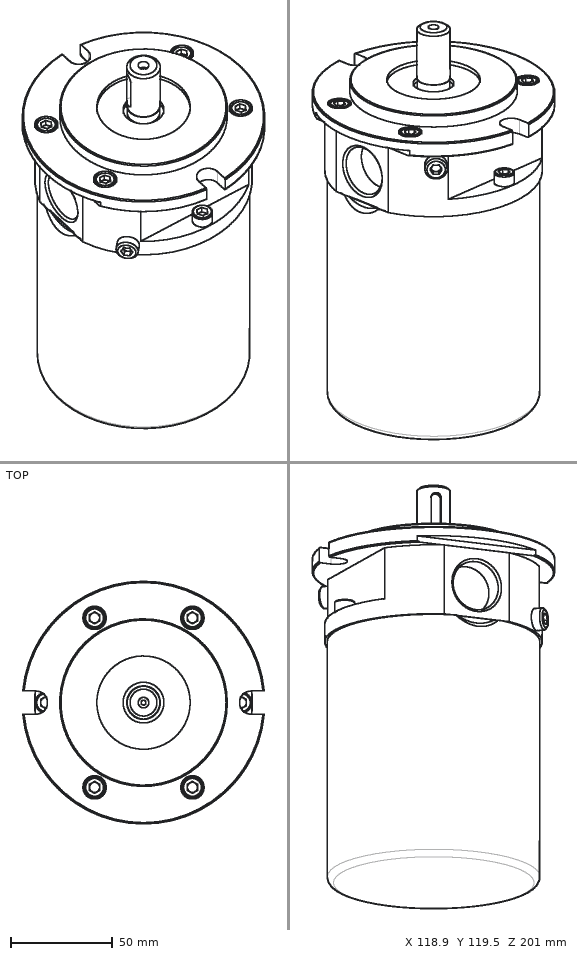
import cadquery as cq
import math

total_height = 201.0
can_top = 122.8
ledge_height = 132.0
flange_bottom = 158.0
flange_thickness = 7.8
flange_top = flange_bottom + flange_thickness
pilot_height = 6.6
pilot_top = flange_top + pilot_height

can_diameter = 105.0
can_bottom_fillet = 3.0

housing_diameter = 107.3
side_flat_offset = 42.0
port_flat_offset = 50.7

flange_diameter = 119.5
pilot_diameter = 82.6
rim_chamfer = 0.6
relief_height = 3.0
relief_offset = 50.5
slot_width = 11.5
slot_centre = 53.0
recess_diameter = 46.0
recess_depth = 2.0
recess_floor = pilot_top - recess_depth
seal_bore_diameter = 20.0
seal_bore_depth = 2.0

shaft_diameter = 16.5
shaft_neck_diameter = 16.0
neck_rise = 0.8
shaft_shoulder = pilot_top + neck_rise
shaft_chamfer_height = 1.2
shaft_chamfer_radial = 1.6
centre_mouth_diameter = 5.2
centre_drill_diameter = 2.5
centre_cone_half_angle = 30.0
centre_cone_taper = (centre_mouth_diameter - centre_drill_diameter) / 2
centre_cone_depth = centre_cone_taper / math.tan(math.radians(centre_cone_half_angle))
centre_drill_depth = 5.0
key_width = 5.0
key_length = 20.7
key_depth = 3.0
key_centre_height = 186.5
key_angle = 15.0

port_height = 139.5
port_diameter = 24.5
port_depth = 12.0
port_chamfer = 1.2
spot_face_radius = 19.3
spot_face_offset = 50.2

bolt_circle_radius = 48.2
flange_screw_angles = (60, 120, 240, 300)
screw_head_diameter = 10.0
screw_chamfer = 0.6
ledge_screw_height = 5.8
counterbore_diameter = 11.5
counterbore_depth = 5.0
hex_across_flats = 5.0
hex_depth = 3.0
plug_diameter = 11.0
plug_chamfer = 1.0
plug_tip_radius = 58.7
plug_root_radius = 44.2
low_plug_height = 129.2
high_plug_height = 150.8
low_plug_angle = -45.0
high_plug_angle = 135.0


def disc(diameter, bottom, top):
    """Cylinder about Z between two heights."""
    return cq.Workplane("XY").workplane(offset=bottom).circle(diameter / 2).extrude(top - bottom)


def slab(half_x, half_y, bottom, top):
    """Centred block given by its half widths, between two heights."""
    height = top - bottom
    return cq.Workplane("XY").workplane(offset=bottom).rect(2 * half_x, 2 * half_y).extrude(height)


def cone(base_radius, tip_radius, height, origin, direction):
    """Cone or frustum starting at origin and running along direction."""
    return cq.Workplane(obj=cq.Solid.makeCone(base_radius, tip_radius, height, origin, direction))


def socket_screw(diameter, length, chamfer):
    """Socket head standing on the XY plane, with a hexagon socket ending in a drill cone."""
    corner_radius = hex_across_flats / math.sqrt(3)
    flat_radius = hex_across_flats / 2
    head = disc(diameter, 0, length).faces(">Z").chamfer(chamfer)
    socket = (
        cq.Workplane("XY")
        .workplane(offset=length)
        .transformed(rotate=(0, 0, 90))
        .polygon(6, 2 * corner_radius)
        .extrude(-hex_depth)
    )
    drill_tip = cone(
        flat_radius, 0, flat_radius / 2, cq.Vector(0, 0, length - hex_depth), cq.Vector(0, 0, -1)
    )
    return head.cut(socket).cut(drill_tip)


def make_can():
    return disc(can_diameter, 0, can_top).faces("<Z").edges().fillet(can_bottom_fillet)


def make_housing():
    """Round housing with port flats on Y and clearance flats on X above the screw ledge."""
    reach = housing_diameter
    housing = disc(housing_diameter, can_top, flange_bottom)
    port_trim = slab(reach, port_flat_offset, can_top, flange_bottom)
    side_trim = slab(side_flat_offset, reach, ledge_height, flange_bottom)
    ledge_zone = slab(reach, reach, can_top, ledge_height)
    return housing.intersect(port_trim).intersect(ledge_zone.union(side_trim))


def make_flange():
    """Flange with its lower edge cut straight on Y, open slots on X, and the stepped pilot."""
    relief_top = flange_bottom + relief_height
    flange = disc(flange_diameter, flange_bottom, flange_top).edges().chamfer(rim_chamfer)
    full_zone = slab(flange_diameter, flange_diameter, relief_top, flange_top)
    trimmed_zone = slab(flange_diameter, relief_offset, flange_bottom, relief_top)
    flange = flange.intersect(full_zone.union(trimmed_zone))

    slot_length = 2 * slot_width
    for side in (-1, 1):
        slot = (
            cq.Workplane("XY")
            .workplane(offset=flange_bottom)
            .center(side * (slot_centre + slot_length / 2 - slot_width / 2), 0)
            .slot2D(slot_length, slot_width)
            .extrude(flange_thickness)
        )
        flange = flange.cut(slot)

    pilot = disc(pilot_diameter, flange_top, pilot_top).faces(">Z").edges().chamfer(rim_chamfer)
    recess = disc(recess_diameter, recess_floor, pilot_top)
    seal_bore = disc(seal_bore_diameter, recess_floor - seal_bore_depth, recess_floor)
    return flange.union(pilot).cut(recess).cut(seal_bore)


def make_shaft():
    """Keyed shaft with a slimmer neck inside the pilot and a centre hole in its end."""
    neck = disc(shaft_neck_diameter, flange_top, shaft_shoulder)
    shaft = disc(shaft_diameter, shaft_shoulder, total_height)
    shaft = shaft.faces(">Z").edges().chamfer(shaft_chamfer_height, shaft_chamfer_radial)

    down = cq.Vector(0, 0, -1)
    centre_cone = cone(
        centre_mouth_diameter / 2,
        centre_drill_diameter / 2,
        centre_cone_depth,
        cq.Vector(0, 0, total_height),
        down,
    )
    centre_drill = disc(centre_drill_diameter, total_height - centre_drill_depth, total_height)
    keyway = (
        cq.Workplane("XZ")
        .workplane(offset=shaft_diameter / 2 - key_depth)
        .center(0, key_centre_height)
        .slot2D(key_length, key_width, 90)
        .extrude(shaft_diameter)
        .rotate((0, 0, 0), (0, 0, 1), -key_angle)
    )
    return neck.union(shaft).cut(centre_cone).cut(centre_drill).cut(keyway)


def make_port():
    """Tool for the -Y port: blind chamfered bore and the flared spot face around it."""
    flare = housing_diameter / 2 - spot_face_offset
    inward = cq.Vector(0, 1, 0)
    outward = cq.Vector(0, -1, 0)
    face_centre = cq.Vector(0, -port_flat_offset, port_height)
    spot_centre = cq.Vector(0, -spot_face_offset, port_height)
    mouth_radius = port_diameter / 2 + port_chamfer
    bore = cq.Workplane(obj=cq.Solid.makeCylinder(port_diameter / 2, port_depth, face_centre, inward))
    chamfer = cone(mouth_radius, port_diameter / 2, port_chamfer, face_centre, inward)
    spot_face = cone(spot_face_radius, spot_face_radius + flare, flare, spot_centre, outward)
    spot_face = spot_face.intersect(disc(2 * flange_diameter, 0, can_top))
    return bore.union(chamfer).union(spot_face)


def place_plug(angle, height):
    """Radial plug in the housing wall at the given angle about Z."""
    plug = socket_screw(plug_diameter, plug_tip_radius - plug_root_radius, plug_chamfer)
    plug = plug.translate((0, 0, plug_root_radius)).rotate((0, 0, 0), (0, 1, 0), 90)
    return plug.rotate((0, 0, 0), (0, 0, 1), angle).translate((0, 0, height))


result = make_can().union(make_housing()).union(make_flange()).union(make_shaft())

port = make_port()
result = result.cut(port).cut(port.mirror("XZ"))

ledge_screw = socket_screw(screw_head_diameter, ledge_screw_height, screw_chamfer)
for x in (-bolt_circle_radius, bolt_circle_radius):
    result = result.union(ledge_screw.translate((x, 0, ledge_height)))

flange_screw = socket_screw(screw_head_diameter, counterbore_depth, screw_chamfer)
for angle in flange_screw_angles:
    x = bolt_circle_radius * math.cos(math.radians(angle))
    y = bolt_circle_radius * math.sin(math.radians(angle))
    seat = flange_top - counterbore_depth
    result = result.cut(disc(counterbore_diameter, seat, flange_top).translate((x, y, 0)))
    result = result.union(flange_screw.translate((x, y, seat)))

result = result.union(place_plug(low_plug_angle, low_plug_height))
result = result.union(place_plug(high_plug_angle, high_plug_height))